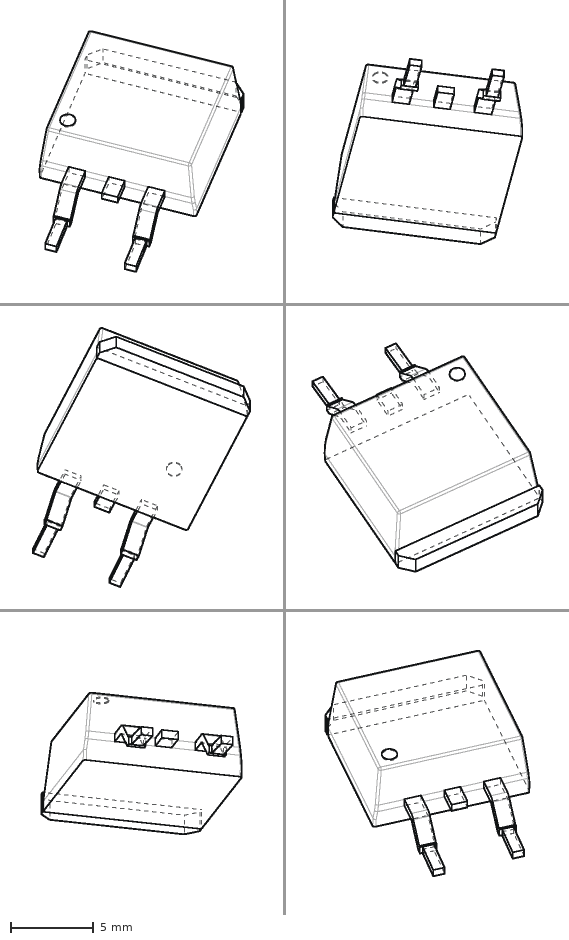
import cadquery as cq
import math


WIDTH = 10.05
HEIGHT = 4.55
HOUSING_REAR = -1.16
HOUSING_FRONT = -10.15
DRAFT = math.tan(math.radians(6))
SIDE_BAND_HEIGHT = 0.7
EDGE_RADIUS = 0.15

TAB_HEIGHT = 1.28
TAB_CHAMFER = 0.76

LEAD_TOP = 1.87
LEAD_THICKNESS = 0.52
LEAD_BOTTOM = LEAD_TOP - LEAD_THICKNESS
LEAD_PITCH = 2.55
LEAD_WIDTH = 1.07
STUB_WIDTH = 1.02
STUB_END = -11.54
UPPER_BEND_Y = -11.72
BEND_ANGLE = 45
TAIL_BOTTOM = 0.02
BEND_RADIUS = 0.05

FOOT_WIDTH = 0.73
FOOT_START = -13.18
FOOT_END = -15.24
FOOT_START_BOTTOM = 0.0
FOOT_END_BOTTOM = -0.14

MARKER_X = -3.58
MARKER_Y = -8.81
MARKER_DIAMETER = 0.95
MARKER_DEPTH = 0.08


def make_marker():
    """Disc set flush into the top of the housing."""
    return (
        cq.Workplane("XY", origin=(MARKER_X, MARKER_Y, HEIGHT - MARKER_DEPTH))
        .circle(MARKER_DIAMETER / 2)
        .extrude(MARKER_DEPTH)
    )


def make_housing(marker):
    """Drafted block with a vertical band behind the leads and a recess for the marker."""
    side_profile = (
        cq.Workplane("YZ")
        .polyline([
            (HOUSING_REAR, 0),
            (HOUSING_REAR, TAB_HEIGHT),
            (HOUSING_REAR - (HEIGHT - TAB_HEIGHT) * DRAFT, HEIGHT),
            (HOUSING_FRONT + (HEIGHT - LEAD_TOP) * DRAFT, HEIGHT),
            (HOUSING_FRONT, LEAD_TOP),
            (HOUSING_FRONT, LEAD_BOTTOM),
            (HOUSING_FRONT + LEAD_BOTTOM * DRAFT, 0),
        ])
        .close()
        .extrude(WIDTH / 2, both=True)
    )
    half_base = WIDTH / 2
    half_top = half_base - (HEIGHT - SIDE_BAND_HEIGHT) * DRAFT
    front_profile = (
        cq.Workplane("XZ")
        .polyline([
            (-half_base, 0),
            (-half_base, SIDE_BAND_HEIGHT),
            (-half_top, HEIGHT),
            (half_top, HEIGHT),
            (half_base, SIDE_BAND_HEIGHT),
            (half_base, 0),
        ])
        .close()
        .extrude(-2 * HOUSING_FRONT, both=True)
    )
    block = side_profile.intersect(front_profile)
    upright_edges = block.edges("not(#Z or |X or |Y)")
    corner_edges = upright_edges.add(block.edges("|Z"))
    block = block.newObject(corner_edges.vals()).fillet(EDGE_RADIUS)
    return block.faces(">Z").edges().fillet(EDGE_RADIUS).cut(marker)


def make_tab():
    """Mounting tab against the rear of the housing, with chamfered outer corners."""
    return (
        cq.Workplane("XY")
        .box(WIDTH, -HOUSING_REAR, TAB_HEIGHT, centered=(True, False, False))
        .translate((0, HOUSING_REAR, 0))
        .edges("|Z and >Y")
        .chamfer(TAB_CHAMFER)
    )


def make_stub():
    """Short straight middle lead."""
    return (
        cq.Workplane("XY")
        .box(STUB_WIDTH, HOUSING_FRONT - STUB_END, LEAD_THICKNESS, centered=(True, False, False))
        .translate((0, STUB_END, LEAD_BOTTOM))
    )


def make_lead(x):
    """Formed outer lead: flat shank, sloping run, short level tail and narrower foot."""
    drop = LEAD_BOTTOM - TAIL_BOTTOM
    slope_run = drop / math.tan(math.radians(BEND_ANGLE))
    inner_bend_y = UPPER_BEND_Y + LEAD_THICKNESS * math.tan(math.radians(BEND_ANGLE / 2))

    shank = (
        cq.Workplane("YZ")
        .polyline([
            (HOUSING_FRONT, LEAD_TOP),
            (UPPER_BEND_Y, LEAD_TOP),
            (UPPER_BEND_Y - slope_run, LEAD_TOP - drop),
            (FOOT_START, LEAD_TOP - drop),
            (FOOT_START, TAIL_BOTTOM),
            (inner_bend_y - slope_run, TAIL_BOTTOM),
            (inner_bend_y, LEAD_BOTTOM),
            (HOUSING_FRONT, LEAD_BOTTOM),
        ])
        .close()
        .extrude(LEAD_WIDTH / 2, both=True)
    )
    outer_bend = cq.selectors.NearestToPointSelector((0, UPPER_BEND_Y, LEAD_TOP))
    inner_bend = cq.selectors.NearestToPointSelector((0, inner_bend_y, LEAD_BOTTOM))
    shank = shank.edges("|X").edges(outer_bend).fillet(BEND_RADIUS + LEAD_THICKNESS)
    shank = shank.edges("|X").edges(inner_bend).fillet(BEND_RADIUS)

    foot = (
        cq.Workplane("YZ")
        .polyline([
            (FOOT_START, FOOT_START_BOTTOM),
            (FOOT_START, FOOT_START_BOTTOM + LEAD_THICKNESS),
            (FOOT_END, FOOT_END_BOTTOM + LEAD_THICKNESS),
            (FOOT_END, FOOT_END_BOTTOM),
        ])
        .close()
        .extrude(FOOT_WIDTH / 2, both=True)
    )
    return shank.union(foot).translate((x, 0, 0))


marker = make_marker()
housing = make_housing(marker)
tab = make_tab()
stub = make_stub()
leads = [make_lead(x) for x in (-LEAD_PITCH, LEAD_PITCH)]

result = cq.Compound.makeCompound([
    housing.val(),
    tab.val(),
    stub.val(),
    *[lead.val() for lead in leads],
    marker.val(),
])